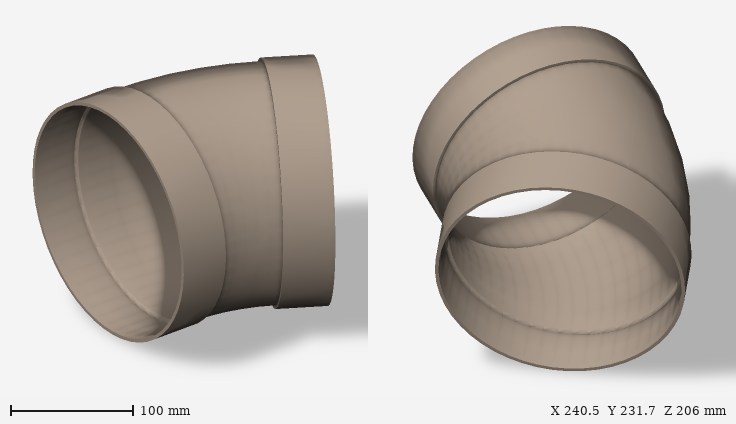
import cadquery as cq
import math

overall_width = 240.5
pipe_diameter = 200.0
bend_radius = 200.0
bend_angle = 30
socket_length = 43.0

angle = math.radians(bend_angle)
bend_end = (
    bend_radius * (1 - math.cos(angle)),
    bend_radius * math.sin(angle),
    0,
)
end_direction = (math.sin(angle), math.cos(angle), 0)

mouth_offset = bend_end[0] + socket_length * math.sin(angle)
socket_radius = (overall_width - mouth_offset) / (1 + math.cos(angle))
pipe_radius = pipe_diameter / 2
wall = socket_radius - pipe_radius
bore_radius = pipe_radius - wall


def make_bend():
    """Curved tube of constant wall between the two sockets."""
    start = cq.Workplane("XZ").circle(pipe_radius).circle(bore_radius)
    return start.revolve(bend_angle, (bend_radius, 0, 0), (bend_radius, -1, 0))


def make_socket(origin, direction):
    """Socket running outward from a bend end, with a rounded pipe stop at its bottom."""
    section_normal = (-direction[1], direction[0], 0)
    section = cq.Workplane(cq.Plane(origin=origin, xDir=(0, 0, 1), normal=section_normal))
    round_step = wall * math.sqrt(0.5)
    return (
        section.moveTo(bore_radius, 0)
        .threePointArc((pipe_radius - round_step, round_step), (pipe_radius, wall))
        .lineTo(pipe_radius, socket_length)
        .lineTo(socket_radius, socket_length)
        .lineTo(socket_radius, 0)
        .close()
        .revolve(360, (0, 0, 0), (0, 1, 0))
    )


result = (
    make_bend()
    .union(make_socket((0, 0, 0), (0, -1, 0)))
    .union(make_socket(bend_end, end_direction))
)